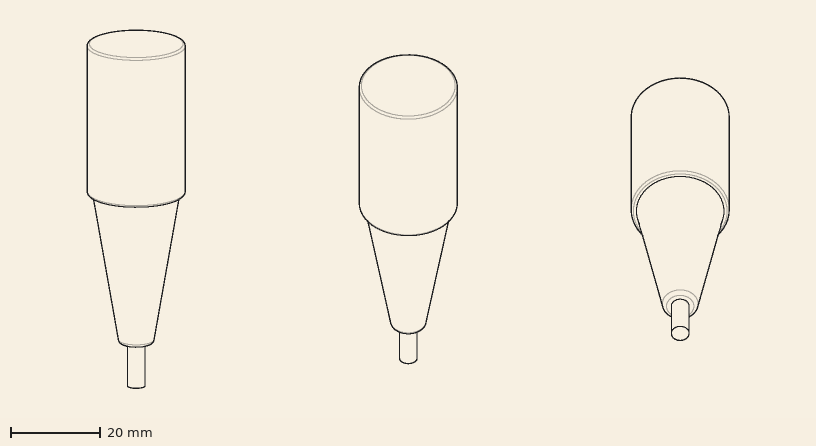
import cadquery as cq

total_length = 80.0
body_diameter = 22.0
cone_top_diameter = 19.6
cone_tip_diameter = 7.8
pin_diameter = 4.0
pin_length = 10.0
body_fillet = 0.5
tip_fillet = 1.0

body_length = (total_length - pin_length) / 2
cone_length = total_length - pin_length - body_length
body_base = pin_length + cone_length


def make_body():
    """Cylindrical body with both rims rounded."""
    body = cq.Workplane("XY").workplane(offset=body_base).circle(body_diameter / 2).extrude(body_length)
    return body.faces("<Z or >Z").edges().fillet(body_fillet)


def make_cone():
    """Cone narrowing downwards to a rounded tip."""
    cone = (
        cq.Workplane("XY")
        .workplane(offset=pin_length)
        .circle(cone_tip_diameter / 2)
        .workplane(offset=cone_length)
        .circle(cone_top_diameter / 2)
        .loft(ruled=True)
    )
    return cone.faces("<Z").edges().fillet(tip_fillet)


def make_pin():
    """Straight pin reaching down from the tip of the cone."""
    return cq.Workplane("XY").circle(pin_diameter / 2).extrude(pin_length)


result = make_body().union(make_cone()).union(make_pin())